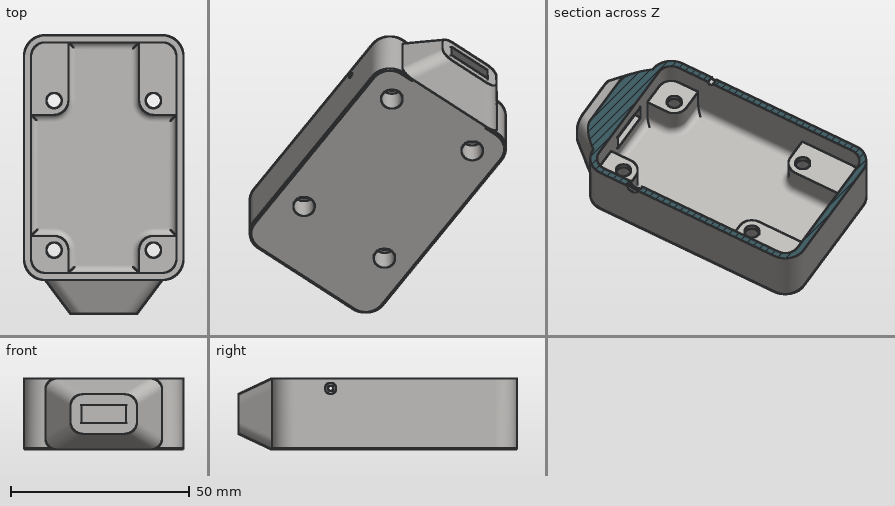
import cadquery as cq
import math


case_width = 44.8
case_height = 20.0
overall_length = 78.15
nozzle_length = 9.45
case_length = overall_length - nozzle_length
wall = 2.0
floor_thickness = 2.0
corner_radius = 6.0
bottom_chamfer = 0.5

inner_width = case_width - 2 * wall
inner_length = case_length - 2 * wall
inner_corner_radius = corner_radius - wall
floor_fillet = 2.0
pad_top = 10.5
pad_radius = 4.0
screw_x = 13.9
front_screw_y = 8.45
rear_screw_y = case_length - 18.4
screw_diameter = 4.2
head_diameter = 6.0
head_seat_thickness = 1.5
head_depth = pad_top - head_seat_thickness

nozzle_base_width = case_width - 2 * corner_radius
nozzle_tip_width = 18.6
nozzle_tip_height = 11.1
nozzle_wall = 3.05
nozzle_edge_radius = 4.0
nozzle_mid_height = case_height / 2

side_hole_y = 16.4
side_hole_z = case_height - 2.8
left_hole_diameter = 1.5
right_hole_diameter = 3.1
right_recess_diameter = 4.0
right_recess_depth = wall / 2


def make_case():
    """Solid outer block with rounded upright corners and a chamfered underside."""
    return (
        cq.Workplane("XY")
        .box(case_width, case_length, case_height, centered=(True, False, False))
        .edges("|Z")
        .fillet(corner_radius)
        .faces("<Z")
        .edges()
        .chamfer(bottom_chamfer)
    )


def make_pad(side, screw_y, wall_y):
    """Pad reaching from a screw position to the side wall and to the end wall at wall_y."""
    toward_middle = 1 if screw_y > wall_y else -1
    inner_x = side * (screw_x - pad_radius)
    outer_x = side * case_width / 2
    end_y = screw_y + toward_middle * pad_radius
    arc_reach = pad_radius * math.cos(math.radians(45))
    return (
        cq.Workplane("XY")
        .workplane(offset=floor_thickness)
        .moveTo(outer_x, wall_y)
        .lineTo(inner_x, wall_y)
        .lineTo(inner_x, screw_y)
        .threePointArc(
            (side * (screw_x - arc_reach), screw_y + toward_middle * arc_reach),
            (side * screw_x, end_y),
        )
        .lineTo(outer_x, end_y)
        .close()
        .extrude(pad_top - floor_thickness)
    )


def make_cavity():
    """Inside space of the case, already stepped around the pads and rounded at the floor."""
    cavity = (
        cq.Workplane("XY")
        .box(inner_width, inner_length, case_height - floor_thickness, centered=(True, False, False))
        .edges("|Z")
        .fillet(inner_corner_radius)
        .translate((0, wall, floor_thickness))
    )
    for side in (-1, 1):
        cavity = cavity.cut(make_pad(side, front_screw_y, 0))
        cavity = cavity.cut(make_pad(side, rear_screw_y, case_length))
    return cavity.faces("<Z").edges().fillet(floor_fillet)


def make_screw_holes():
    """Through holes in the pads, widened from below for the screw heads."""
    centers = [(x, y) for x in (-screw_x, screw_x) for y in (front_screw_y, rear_screw_y)]
    plane = cq.Workplane("XY").pushPoints(centers)
    return plane.circle(screw_diameter / 2).extrude(case_height).union(
        plane.circle(head_diameter / 2).extrude(head_depth)
    )


def make_taper(inset):
    """Frustum from the case front face to the nozzle tip, inset evenly on all four sides."""
    base_width = nozzle_base_width - 2 * inset
    base_height = case_height - 2 * inset
    side_step = (nozzle_base_width - nozzle_tip_width) / 2
    top_step = (case_height - nozzle_tip_height) / 2
    frustum = cq.Workplane("XY").wedge(
        base_width,
        nozzle_length,
        base_height,
        side_step,
        top_step,
        base_width - side_step,
        base_height - top_step,
        centered=(True, False, True),
    )
    return frustum.rotate((0, 0, 0), (0, 0, 1), 180).translate((0, 0, nozzle_mid_height))


def make_nozzle():
    """Tapered nozzle with rounded edges and a short root that joins it to the front wall."""
    nozzle = make_taper(0).edges("not(|X or |Z)").fillet(nozzle_edge_radius)
    root = nozzle.faces(">Y").wires().toPending().workplane().extrude(wall, combine=False)
    return nozzle.union(root)


def make_cable_passage():
    """Tapered space inside the nozzle plus a slot of the mouth size through the front wall."""
    slot = cq.Workplane("XY").box(
        nozzle_tip_width - 2 * nozzle_wall,
        wall,
        nozzle_tip_height - 2 * nozzle_wall,
        centered=(True, False, True),
    )
    return make_taper(nozzle_wall).union(slot.translate((0, 0, nozzle_mid_height)))


def make_side_hole(diameter, start_x, depth):
    """Cylinder along +X at the side hole position."""
    return (
        cq.Workplane("YZ", origin=(start_x, side_hole_y, side_hole_z))
        .circle(diameter / 2)
        .extrude(depth)
    )


result = make_case().union(make_nozzle()).cut(make_cavity())
result = result.cut(make_screw_holes()).cut(make_cable_passage())
result = result.cut(make_side_hole(left_hole_diameter, -case_width / 2, wall))
result = result.cut(make_side_hole(right_hole_diameter, inner_width / 2, wall))
result = result.cut(make_side_hole(right_recess_diameter, inner_width / 2, right_recess_depth))